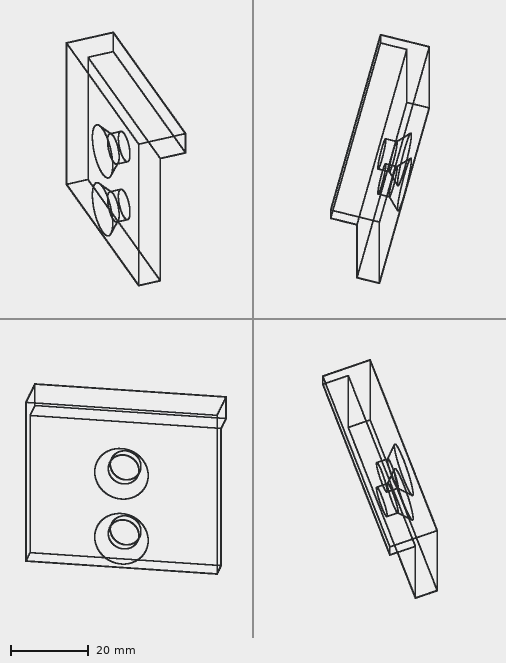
import cadquery as cq

width = 50.0
depth = 13.0
height = 44.0

plate_thickness = 6.0
lip_height = 6.0

hole_diameter = 8.0
countersink_diameter = 14.0
countersink_angle = 90.0
lower_hole_height = 8.0
hole_spacing = 18.0
hole_heights = [lower_hole_height, lower_hole_height + hole_spacing]

plate = cq.Workplane("XY").box(width, plate_thickness, height, centered=(True, False, False))

lip = (
    cq.Workplane("XY")
    .workplane(offset=height - lip_height)
    .box(width, depth, lip_height, centered=(True, False, False))
)

result = (
    plate.union(lip)
    .faces("<Y")
    .workplane(origin=(0, 0, 0))
    .pushPoints([(0, hole_height) for hole_height in hole_heights])
    .cskHole(hole_diameter, countersink_diameter, countersink_angle)
)